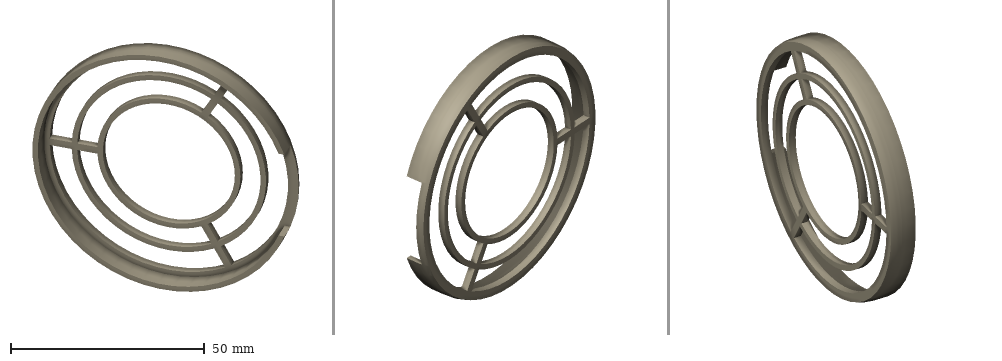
import cadquery as cq
import math

rim_radius = 35.5
rim_depth = 7.0
wall_thickness = 1.5
wall_inner_radius = rim_radius - wall_thickness
floor_thickness = 2.0
floor_y = rim_depth - floor_thickness
floor_opening_radius = 32.5

crown_length = 3.0
crown_radius = 8.0
crown_start_y = rim_depth - crown_length

ring_width = 1.5
ring_outer_radii = (26.5, 19.5)
spoke_width = 2.0
spoke_count = 3
first_spoke_angle = 60.0
spoke_inner_radius = min(ring_outer_radii) - ring_width / 2
spoke_outer_radius = (floor_opening_radius + wall_inner_radius) / 2

gap_width = 25.0


def crown_surface_radius(y):
    """Outer radius of the rim at a depth y within the rounded back edge."""
    inset = crown_radius - math.sqrt(crown_radius**2 - (y - crown_start_y) ** 2)
    return rim_radius - inset


def make_rim():
    """Revolve the L-shaped rim section about the Y axis."""
    crown_middle_y = crown_start_y + crown_length / 2
    section = (
        cq.Workplane("XY")
        .moveTo(wall_inner_radius, 0)
        .lineTo(rim_radius, 0)
        .lineTo(rim_radius, crown_start_y)
        .threePointArc(
            (crown_surface_radius(crown_middle_y), crown_middle_y),
            (crown_surface_radius(rim_depth), rim_depth),
        )
        .lineTo(floor_opening_radius, rim_depth)
        .lineTo(floor_opening_radius, floor_y)
        .lineTo(wall_inner_radius, floor_y)
        .close()
    )
    return section.revolve(360, (0, 0, 0), (0, 1, 0))


def make_grille_ring(outer_radius):
    """Flat ring lying in the floor layer."""
    return (
        cq.Workplane("XZ", origin=(0, floor_y, 0))
        .circle(outer_radius)
        .circle(outer_radius - ring_width)
        .extrude(-floor_thickness)
    )


def make_spoke(angle):
    """Straight bar from the innermost ring into the rim floor."""
    length = spoke_outer_radius - spoke_inner_radius
    bar = cq.Workplane("XY").box(length, floor_thickness, spoke_width, centered=(False, False, True))
    return bar.translate((spoke_inner_radius, floor_y, 0)).rotate((0, 0, 0), (0, 1, 0), angle)


def make_wall_gap():
    """Cutter that removes the +X part of the wall down to the floor."""
    return cq.Workplane("XY").box(rim_radius, floor_y, gap_width, centered=(False, False, True))


result = make_rim().cut(make_wall_gap())
for ring_outer_radius in ring_outer_radii:
    result = result.union(make_grille_ring(ring_outer_radius))
for spoke_index in range(spoke_count):
    result = result.union(make_spoke(first_spoke_angle + spoke_index * 360 / spoke_count))